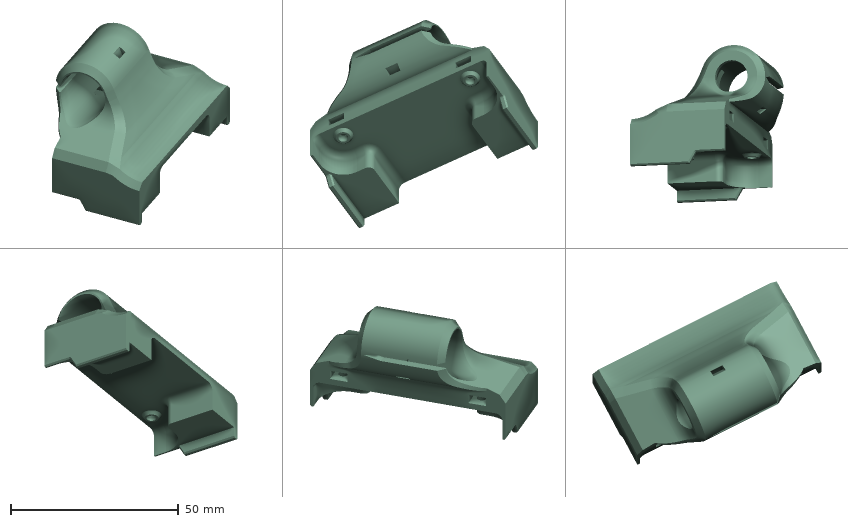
import cadquery as cq
import math

length_x = 37.0
length_y = 62.0
height = 39.0
tube_radius = 10.0
axis_z = height - tube_radius
back_x = length_x - tube_radius
front_x = -2.0
half_y = length_y / 2

tube_half_length = 14.0
underside_z = 3.4
back_top_z = 14.5
end_top_z = 17.9
saddle_radius = 12.0
saddle_start_x = 18.2
flare_radius = 7.0
shoulder_angle = math.radians(20)
outer_chamfer = 2.0

bore_radius = 7.5
end_hole_radius = 10.0 / 2
seat_half_length = 12.0

slot_width = 2.2
slot_taper_y = 5.8
slot_tip_y = 11.05
tie_width = 4.1
tie_inner_radius = 7.1
tie_outer_radius = 8.6
tie_exit_angle = math.radians(20)

roof_z = 12.0
side_wall = 1.0
roof_fillet = 2.2
screw_x = front_x + 4.2
screw_y = 21.95
post_inner_y = 17.0
post_corner_radius = 2.05
screw_radius = 3.0 / 2
collar_top_radius = 6.0 / 2
collar_bottom_radius = 2.2
collar_height = 1.0
nut_width = 5.5
nut_slot_bottom_z = 13.95
nut_slot_height = 2.8
nut_slot_depth = 8.0
foot_thickness = 2.0
foot_chamfer = 0.45
foot_round_radius = 0.6
foot_top_x = front_x + 9.0
foot_toe_x = front_x + 11.0

past = 0.6


def side_profile():
    """XZ outline: tube, long hollow flank, saddle and base, extruded along Y."""
    saddle_z = back_top_z + saddle_radius
    saddle_angle = math.asin((back_x - saddle_start_x) / saddle_radius)

    def saddle_point(angle):
        return (
            back_x - saddle_radius * math.sin(angle),
            saddle_z - saddle_radius * math.cos(angle),
        )

    start_x, start_z = saddle_point(saddle_angle)
    rise = start_z - axis_z
    normal_x, normal_z = math.sin(saddle_angle), math.cos(saddle_angle)
    along = start_x * normal_x + rise * normal_z
    flank_radius = (start_x**2 + rise**2 - tube_radius**2) / (2 * (tube_radius - along))
    flank_x = start_x + flank_radius * normal_x
    flank_z = start_z + flank_radius * normal_z
    tube_angle = math.atan2(flank_z - axis_z, flank_x)
    tube_point = (tube_radius * math.cos(tube_angle), axis_z + tube_radius * math.sin(tube_angle))
    middle_angle = (tube_angle + math.pi / 2 - saddle_angle) / 2
    flank_middle = (
        flank_x - flank_radius * math.cos(middle_angle),
        flank_z - flank_radius * math.sin(middle_angle),
    )
    tube_bottom_z = axis_z - math.sqrt(tube_radius**2 - front_x**2)
    return (
        cq.Workplane("XZ")
        .moveTo(front_x, underside_z)
        .lineTo(back_x, underside_z)
        .lineTo(back_x, back_top_z)
        .threePointArc(saddle_point(saddle_angle / 2), (start_x, start_z))
        .threePointArc(flank_middle, tube_point)
        .threePointArc((-tube_radius, axis_z), (front_x, tube_bottom_z))
        .close()
        .extrude(half_y, both=True)
    )


def end_profile():
    """YZ outline: tube width flaring out to the sloping shoulders, extruded along X."""
    flare_y = tube_half_length + flare_radius

    def flare_point(angle):
        return flare_y - flare_radius * math.cos(angle), axis_z - flare_radius * math.sin(angle)

    flare_sweep = math.pi / 2 - shoulder_angle
    middle_y, middle_z = flare_point(flare_sweep / 2)
    foot_y, foot_z = flare_point(flare_sweep)
    return (
        cq.Workplane("YZ")
        .moveTo(-half_y, underside_z)
        .lineTo(half_y, underside_z)
        .lineTo(half_y, end_top_z)
        .lineTo(foot_y, foot_z)
        .threePointArc((middle_y, middle_z), (tube_half_length, axis_z))
        .lineTo(tube_half_length, height + past)
        .lineTo(-tube_half_length, height + past)
        .lineTo(-tube_half_length, axis_z)
        .threePointArc((-middle_y, middle_z), (-foot_y, foot_z))
        .lineTo(-half_y, end_top_z)
        .close()
        .extrude(length_x, both=True)
    )


def outer_body():
    """Common part of both outlines, with its upper rims and lower side edges chamfered."""
    body = side_profile().intersect(end_profile())

    def on_side_at(edge, level):
        middle = edge.positionAt(0.5)
        return math.isclose(abs(middle.y), half_y) and math.isclose(middle.z, level)

    def is_rim(edge):
        return edge.geomType() != "LINE" or on_side_at(edge, end_top_z)

    rims = [edge for edge in body.edges().vals() if is_rim(edge)]
    body = body.newObject(rims).chamfer(outer_chamfer)
    lower_edges = [edge for edge in body.edges("|X").vals() if on_side_at(edge, underside_z)]
    return body.newObject(lower_edges).chamfer(foot_chamfer)


def cylinder_y(radius, start_y, end_y):
    """Cylinder around the tube axis between two Y positions."""
    return (
        cq.Workplane("XZ", origin=(0, start_y, axis_z))
        .circle(radius)
        .extrude(start_y - end_y)
    )


def bearing_seat():
    """Seat open at -Y, with a smaller hole through the stop at its +Y end."""
    seat = cylinder_y(bore_radius, -half_y - past, seat_half_length)
    return seat.union(cylinder_y(end_hole_radius, -half_y - past, half_y + past))


def clamping_slot():
    """Slot through the front of the tube wall, tapering to a point near the stop."""
    half_width = slot_width / 2
    return (
        cq.Workplane("YZ", origin=(0, 0, axis_z))
        .moveTo(-half_y, -half_width)
        .lineTo(slot_taper_y, -half_width)
        .lineTo(slot_tip_y, 0)
        .lineTo(slot_taper_y, half_width)
        .lineTo(-half_y, half_width)
        .close()
        .extrude(-tube_radius - past)
    )


def tie_channel():
    """Channel around the back of the bore, leaving along its tangents at the top and the front."""
    exit_length = tube_radius

    def on_ring(radius, angle, run=0.0):
        return (
            radius * math.cos(angle) - run * math.sin(angle),
            radius * math.sin(angle) + run * math.cos(angle),
        )

    bottom_angle = -math.pi / 2
    middle_angle = (bottom_angle + tie_exit_angle) / 2
    return (
        cq.Workplane("XZ", origin=(0, 0, axis_z))
        .moveTo(-exit_length, -tie_outer_radius)
        .lineTo(0, -tie_outer_radius)
        .threePointArc(on_ring(tie_outer_radius, middle_angle), on_ring(tie_outer_radius, tie_exit_angle))
        .lineTo(*on_ring(tie_outer_radius, tie_exit_angle, exit_length))
        .lineTo(*on_ring(tie_inner_radius, tie_exit_angle, exit_length))
        .lineTo(*on_ring(tie_inner_radius, tie_exit_angle))
        .threePointArc(on_ring(tie_inner_radius, middle_angle), (0, -tie_inner_radius))
        .lineTo(-exit_length, -tie_inner_radius)
        .close()
        .extrude(tie_width / 2, both=True)
    )


def underside_pocket():
    """Space below the roof, rounded around the screws and narrowed between the two posts."""
    wall_y = half_y - side_wall
    round_radius = wall_y - screw_y
    post_front_x = screw_x + round_radius
    diagonal = round_radius * math.sqrt(0.5)
    start_x = front_x - outer_chamfer - past
    pocket = (
        cq.Workplane("XY", origin=(0, 0, underside_z - past))
        .moveTo(start_x, wall_y)
        .lineTo(screw_x, wall_y)
        .threePointArc((screw_x + diagonal, screw_y + diagonal), (post_front_x, screw_y))
        .lineTo(post_front_x, post_inner_y)
        .lineTo(back_x + past, post_inner_y)
        .lineTo(back_x + past, -post_inner_y)
        .lineTo(post_front_x, -post_inner_y)
        .lineTo(post_front_x, -screw_y)
        .threePointArc((screw_x + diagonal, -screw_y - diagonal), (screw_x, -wall_y))
        .lineTo(start_x, -wall_y)
        .close()
        .extrude(roof_z - underside_z + past)
    )
    post_corners = cq.selectors.BoxSelector(
        (post_front_x - past, -post_inner_y - past, 0),
        (post_front_x + past, post_inner_y + past, height),
    )
    pocket = pocket.edges("|Z").edges(post_corners).fillet(post_corner_radius)
    ends = cq.selectors.BoxSelector(
        (start_x + past, -half_y, roof_z - past),
        (back_x, half_y, roof_z + past),
    )
    return pocket.faces(">Z").edges().edges(ends).fillet(roof_fillet)


def foot(side):
    """Thin foot at one end of the base, sloping down to its toe; side is +1 or -1 along Y."""
    toe_angle = math.atan2(underside_z, foot_toe_x - foot_top_x)
    tangent_length = foot_round_radius * math.tan(toe_angle / 2)
    root_x = foot_top_x - tangent_length
    round_z = underside_z - foot_round_radius
    outer_y = side * half_y
    inner_y = outer_y - side * foot_thickness

    def round_point(angle):
        return root_x + foot_round_radius * math.sin(angle), round_z + foot_round_radius * math.cos(angle)

    plate = (
        cq.Workplane("XZ", origin=(0, (outer_y + inner_y) / 2, 0))
        .moveTo(root_x, underside_z + past)
        .lineTo(root_x, underside_z)
        .threePointArc(round_point(toe_angle / 2), round_point(toe_angle))
        .lineTo(foot_toe_x, 0)
        .lineTo(back_x, 0)
        .lineTo(back_x, underside_z + past)
        .close()
        .extrude(foot_thickness / 2, both=True)
    )
    lower_edges = cq.selectors.BoxSelector(
        (root_x, -half_y - past, -past),
        (back_x - past, half_y + past, underside_z),
    )
    return plate.edges("not |Y").edges(lower_edges).chamfer(foot_chamfer)


def screw_collar(side):
    """Tapered collar hanging from the roof around a screw hole."""
    return (
        cq.Workplane("XY", origin=(screw_x, side * screw_y, roof_z - collar_height))
        .circle(collar_bottom_radius)
        .workplane(offset=collar_height)
        .circle(collar_top_radius)
        .loft()
    )


def screw_hole(side):
    """Hole from the collar up into the nut slot."""
    bottom_z = roof_z - collar_height - past
    return (
        cq.Workplane("XY", origin=(screw_x, side * screw_y, bottom_z))
        .circle(screw_radius)
        .extrude(nut_slot_bottom_z + nut_slot_height - bottom_z)
    )


def nut_slot(side):
    """Rectangular nut slot entered from the front face."""
    return (
        cq.Workplane("XY")
        .box(nut_slot_depth, nut_width, nut_slot_height, centered=(False, True, False))
        .translate((front_x, side * screw_y, nut_slot_bottom_z))
    )


result = outer_body().cut(underside_pocket())
for side in (-1, 1):
    result = result.union(foot(side)).union(screw_collar(side))
    result = result.cut(screw_hole(side)).cut(nut_slot(side))
result = result.cut(bearing_seat()).cut(clamping_slot()).cut(tie_channel())